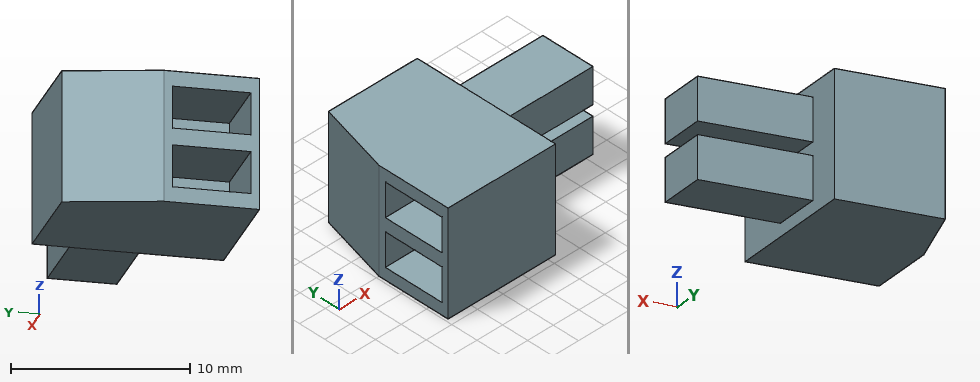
import cadquery as cq

TOTAL_LENGTH = 15.6
HOUSING_LENGTH = 8.4
HOUSING_WIDTH = 11.0
HOUSING_HEIGHT = 7.8
BEVEL_LENGTH = 1.45
BEVEL_START = HOUSING_WIDTH / 2

POLE_COUNT = 2
POLE_PITCH = 3.5

ENTRY_WIDTH = 4.5
ENTRY_HEIGHT = 2.5
ENTRY_MARGIN = 0.5
ENTRY_DEPTH = 5.0

PLUG_LENGTH = TOTAL_LENGTH - HOUSING_LENGTH
PLUG_WIDTH = 4.0
PLUG_HEIGHT = 2.68
PLUG_START = 4.35


def pole_heights():
    """Centre height of each pole, from bottom to top."""
    lowest = (HOUSING_HEIGHT - (POLE_COUNT - 1) * POLE_PITCH) / 2
    return [lowest + index * POLE_PITCH for index in range(POLE_COUNT)]


def make_entry(height):
    """Cutter for one blind rectangular wire entry."""
    return (
        cq.Workplane("XY")
        .box(ENTRY_DEPTH, ENTRY_WIDTH, ENTRY_HEIGHT, centered=(False, False, True))
        .translate((0, ENTRY_MARGIN, height))
    )


def make_housing():
    """Block with a bevel along its +Y, -X side and one wire entry per pole."""
    housing = (
        cq.Workplane("XY")
        .moveTo(0, 0)
        .lineTo(HOUSING_LENGTH, 0)
        .lineTo(HOUSING_LENGTH, HOUSING_WIDTH)
        .lineTo(BEVEL_LENGTH, HOUSING_WIDTH)
        .lineTo(0, BEVEL_START)
        .close()
        .extrude(HOUSING_HEIGHT)
    )
    for height in pole_heights():
        housing = housing.cut(make_entry(height))
    return housing


def make_plug(height):
    """One rectangular plug block seated against the +X face of the housing."""
    return (
        cq.Workplane("XY")
        .box(PLUG_LENGTH, PLUG_WIDTH, PLUG_HEIGHT, centered=(False, False, True))
        .translate((HOUSING_LENGTH, PLUG_START, height))
    )


housing = make_housing()
plugs = [make_plug(height) for height in pole_heights()]

result = cq.Compound.makeCompound([housing.val(), *[plug.val() for plug in plugs]])